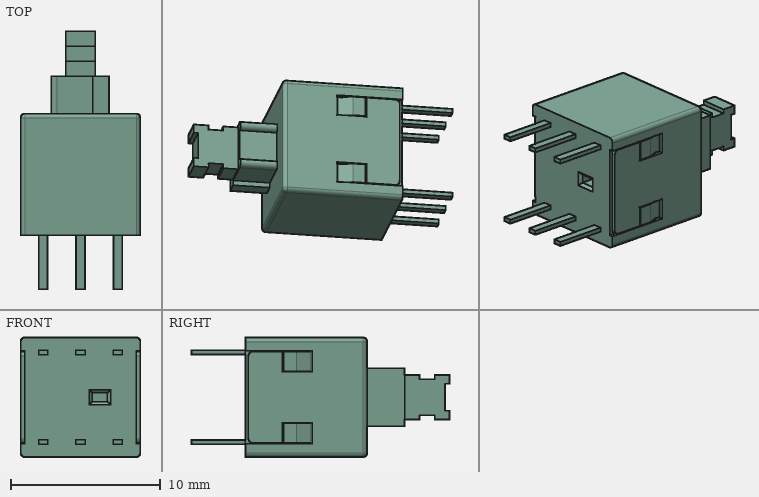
import cadquery as cq


housing_width = 8.0
housing_length = 8.15
housing_radius = 0.3

pin_length = 3.6
pin_width = 0.6
pin_thickness = 0.3
pin_pitch = 2.5
pin_row_spacing = 6.0

collar_length = 2.5
collar_wall_x = -1.64
collar_step_x = 0.81
collar_right_x = 1.91
collar_low_height = 3.23
collar_high_height = 3.9
bead_radius = 0.3
bead_x = -1.67
bead_z = 1.33

overall_length = 17.25
plunger_length = overall_length - pin_length - housing_length - collar_length
plunger_width = 2.0
plunger_height = 3.0
notch_depth = 0.3
notch_start = plunger_length / 3
notch_end = 2 * plunger_length / 3
tip_notch_height = 1.8

flap_thickness = 0.28
flap_gap = 0.05
flap_end = 0.2
flap_corner_radius = 0.3
flap_recess_height = 6.21

window_start = 2.45
window_end = 4.47
window_height = 1.41
latch_start = 2.55
latch_flat_end = 3.4
latch_end = 4.33

pocket_x = 1.3
pocket_width = 1.43
pocket_height = 1.0
pocket_inset = 0.2
pocket_taper_depth = 0.2
pocket_depth = 1.0


def box(x_range, y_range, z_range):
    """Axis-aligned block between the given coordinate pairs."""
    size = [high - low for low, high in (x_range, y_range, z_range)]
    return cq.Workplane("XY").box(*size, centered=False).translate((x_range[0], y_range[0], z_range[0]))


def centered_block(width, height, y_start, y_end):
    """Block centred on the Y axis."""
    return box((-width / 2, width / 2), (y_start, y_end), (-height / 2, height / 2))


def make_housing():
    block = centered_block(housing_width, housing_width, 0, housing_length)
    return block.edges("|Y or >Y").fillet(housing_radius)


def make_pins():
    pins = cq.Workplane("XY")
    for z in (-pin_row_spacing / 2, pin_row_spacing / 2):
        for x in (-pin_pitch, 0, pin_pitch):
            pins = pins.union(centered_block(pin_width, pin_thickness, -pin_length, 0).translate((x, 0, z)))
    return pins


def make_collar():
    """Collar with a low left part, a high right part and two round beads along its left wall."""
    y_range = (housing_length, housing_length + collar_length)
    low_half = collar_low_height / 2
    high_half = collar_high_height / 2
    collar = box((collar_wall_x, collar_step_x), y_range, (-low_half, low_half))
    collar = collar.union(box((collar_step_x, collar_right_x), y_range, (-high_half, high_half)))
    for z in (-bead_z, bead_z):
        bead = cq.Workplane("XZ").center(bead_x, z).circle(bead_radius).extrude(-collar_length)
        collar = collar.union(bead.translate((0, housing_length, 0)))
    return collar


def make_plunger():
    base_y = housing_length + collar_length
    tip_y = base_y + plunger_length
    plunger = centered_block(plunger_width, plunger_height, base_y, tip_y)
    neck_height = plunger_height - 2 * notch_depth
    neck_range = (base_y + notch_start, base_y + notch_end)
    notches = centered_block(plunger_width, plunger_height, *neck_range)
    notches = notches.cut(centered_block(plunger_width, neck_height, *neck_range))
    tip_notch = centered_block(plunger_width, tip_notch_height, tip_y - notch_depth, tip_y)
    return plunger.cut(notches).cut(tip_notch)


def make_flap_recess():
    """Material removed around the flap and its two latches on the -X side."""
    outer_x = -housing_width / 2
    x_range = (outer_x, outer_x + flap_thickness)
    recess_half = flap_recess_height / 2
    flap_half = recess_half - flap_gap
    recess = box(x_range, (0, window_end), (-recess_half, recess_half))
    flap = box(x_range, (flap_end, window_end), (-flap_half, flap_half))
    flap = flap.edges("|X and <Y").fillet(flap_corner_radius)
    recess = recess.cut(flap)
    latch_profile = [
        (x_range[0], latch_start),
        (x_range[0], latch_flat_end),
        (x_range[1], latch_end),
        (x_range[1], latch_start),
    ]
    window_bottom = recess_half - window_height
    latch_height = window_height - 2 * flap_gap
    latch = cq.Workplane("XY").polyline(latch_profile).close().extrude(latch_height)
    latch = latch.translate((0, 0, window_bottom + flap_gap))
    window = box(x_range, (window_start, window_end), (window_bottom, recess_half)).cut(latch)
    return recess.union(window).union(window.mirror("XY"))


def make_pocket():
    """Rectangular hole with a tapered mouth."""
    inner_width = pocket_width - 2 * pocket_inset
    inner_height = pocket_height - 2 * pocket_inset
    mouth = cq.Workplane("XZ").rect(pocket_width, pocket_height)
    mouth = mouth.workplane(offset=-pocket_taper_depth).rect(inner_width, inner_height).loft(ruled=True)
    hole = centered_block(inner_width, inner_height, 0, pocket_depth)
    return mouth.union(hole).translate((pocket_x, 0, 0))


flap_recess = make_flap_recess()
result = (
    make_housing()
    .cut(flap_recess)
    .cut(flap_recess.mirror("YZ"))
    .cut(make_pocket())
    .union(make_pins())
    .union(make_collar())
    .union(make_plunger())
)